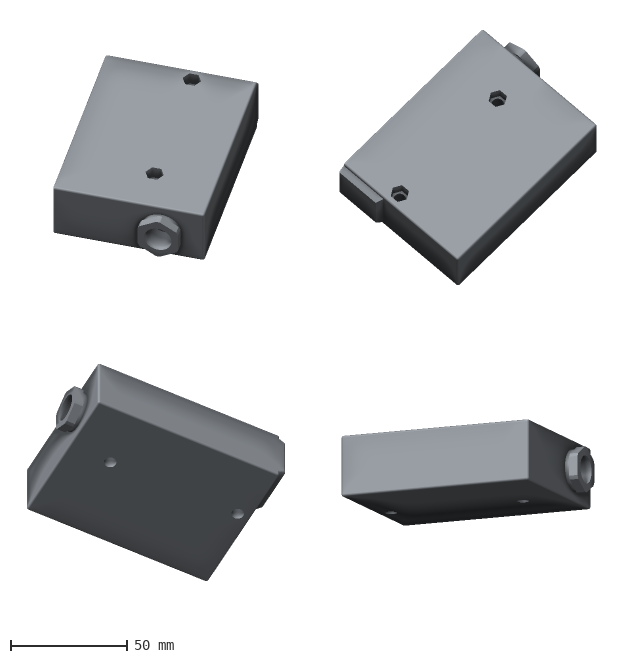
import cadquery as cq
import math

body_width = 67.6
total_length = 97.0
body_height = 26.8
edge_radius = 1.0

gland_x = 14.6
collar_length = 1.9
nut_length = 4.0
gland_length = collar_length + nut_length
nut_flats = 18.1
nut_rounding_diameter = 20.0
bore_diameter = 12.1
bore_depth = 11.6

pad_height = 3.0
pad_base_width = 23.7
pad_base_inset = 1.8
pad_taper = math.radians(30)

hole_x = 6.2
front_hole_offset = 20.1
hole_spacing = 61.9
hole_diameter = 5.4
pocket_flats = 7.1
pocket_depth = 5.8

body_length = total_length - gland_length - pad_height
side_x = body_width / 2


def across_corners(flats):
    return flats / math.cos(math.pi / 6)


def front_plane(y, x=0.0):
    """Plane at the given Y whose normal points toward -Y."""
    return cq.Workplane("XZ", origin=(x, y, 0))


def make_body():
    box = cq.Workplane("XY").box(body_width, body_length, body_height)
    return box.edges().fillet(edge_radius).translate((0, body_length / 2, 0))


def make_pad():
    root_growth = edge_radius * math.tan(pad_taper)
    tip_shrink = pad_height * math.tan(pad_taper)
    base_height = body_height - 2 * pad_base_inset
    root_width = pad_base_width + root_growth
    tip_width = pad_base_width - tip_shrink

    def section(y, width, height):
        centre_x = side_x - width / 2
        return front_plane(y, centre_x).rect(width, height).wires().val()

    root = section(body_length - edge_radius, root_width, base_height + 2 * root_growth)
    tip = section(body_length + pad_height, tip_width, base_height - 2 * tip_shrink)
    pad = cq.Workplane(obj=cq.Solid.makeLoft([root, tip], True))
    return pad.faces(">X").edges("not <Y").fillet(edge_radius)


def make_gland():
    collar = front_plane(edge_radius, gland_x).circle(nut_flats / 2).extrude(edge_radius + collar_length)
    nut_start = front_plane(-collar_length, gland_x)
    hexagon = nut_start.transformed(rotate=(0, 0, 30)).polygon(6, across_corners(nut_flats))
    nut = hexagon.extrude(nut_length)
    rounding = nut_start.circle(nut_rounding_diameter / 2).extrude(nut_length)
    return collar.union(nut.intersect(rounding))


def make_bore():
    return front_plane(-gland_length, gland_x).circle(bore_diameter / 2).extrude(-bore_depth)


def make_mounting_hole(y):
    top = cq.Workplane("XY", origin=(hole_x, y, body_height / 2))
    hole = top.circle(hole_diameter / 2).extrude(-body_height)
    pocket = top.polygon(6, across_corners(pocket_flats)).extrude(-pocket_depth)
    return hole.union(pocket)


result = make_body().union(make_pad()).union(make_gland()).cut(make_bore())
for hole_index in range(2):
    result = result.cut(make_mounting_hole(front_hole_offset + hole_index * hole_spacing))